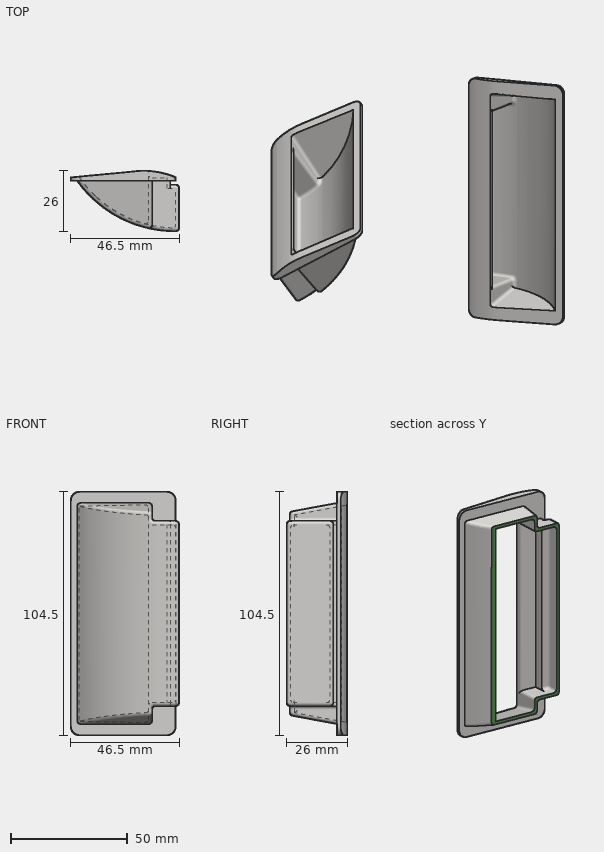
import cadquery as cq
import math

LENGTH = 104.5
WALL = 1.6
EDGE_RADIUS = 1.5
BRIDGE_RADIUS = 1.4

FLANGE_WIDTH = 45.0
FLANGE_CORNER = 3.8
FLANGE_LEFT_EDGE = 1.6
FLANGE_RIGHT_EDGE = 1.6
CROWN_START = (26.6, 4.1)
CROWN_PEAK = (32.9, 4.4)

CUP_LEFT = 2.8
CUP_DEPTH = 21.6
CUP_RIGHT = 34.9
CUP_HALF_LENGTH = 47.4
END_TAPER = math.radians(10.5)
CAVITY_TOP = 6.3

POCKET_HALF_LENGTH = 39.7
POCKET_RIGHT = 42.7
LIP_RIGHT = 46.5
PANEL_GAP = 1.6
BRIDGE_UNDERSIDE = 1.5
CURVE_END = 44.9

NEAR = 0.3

CURVE_RISE = CURVE_END - CUP_LEFT
CURVE_RADIUS = (CURVE_RISE**2 + CUP_DEPTH**2) / (2 * CUP_DEPTH)
CURVE_CENTER_Y = CURVE_RADIUS - CUP_DEPTH


def curved_prism(right, top, half_length, inset):
    """Prism along Z between the cup's curved face, moved in by inset, and a flat top."""
    radius = CURVE_RADIUS - inset

    def curve_point(y):
        return (CURVE_END - math.sqrt(radius**2 - (CURVE_CENTER_Y - y) ** 2), y)

    floor = CURVE_CENTER_Y - radius
    if right > CURVE_END:
        outline = (
            cq.Workplane("XY").moveTo(*curve_point(top))
            .threePointArc(curve_point((top + floor) / 2), (CURVE_END, floor))
            .lineTo(right, floor)
        )
    else:
        end = (right, CURVE_CENTER_Y - math.sqrt(radius**2 - (CURVE_END - right) ** 2))
        outline = (
            cq.Workplane("XY").moveTo(*curve_point(top))
            .threePointArc(curve_point((top + end[1]) / 2), end)
        )
    return outline.lineTo(right, top).close().extrude(half_length, both=True)


def slab(left, right, bottom, top, half_length):
    """Box spanning the given X and Y limits, centred on z = 0."""
    return (
        cq.Workplane("XY").center((left + right) / 2, (bottom + top) / 2)
        .rect(right - left, top - bottom).extrude(half_length, both=True)
    )


def tapered_cup(inset, top):
    """Main cup volume, with sloping ends."""
    half = CUP_HALF_LENGTH - inset / math.cos(END_TAPER)
    half_top = half + top * math.tan(END_TAPER)
    half_floor = half - CUP_DEPTH * math.tan(END_TAPER)
    outline = [(top, -half_top), (top, half_top), (-CUP_DEPTH, half_floor), (-CUP_DEPTH, -half_floor)]
    ends = cq.Workplane("YZ").polyline(outline).close().extrude(LIP_RIGHT)
    return curved_prism(CUP_RIGHT - inset, top, LENGTH / 2, inset).intersect(ends)


def finger_pocket(inset, top, lip_top):
    """Pocket under the flange, stepping down below the panel gap at its lip."""
    half = POCKET_HALF_LENGTH - inset
    pocket = curved_prism(LIP_RIGHT - inset, top, half, inset)
    step = slab(POCKET_RIGHT - inset, LIP_RIGHT, lip_top, top, half)
    return pocket.cut(step)


def box_edges(shape, x_limits, y_limits, z_limits):
    """Edges of the shape whose centres lie inside the given limits."""
    low, high = zip(x_limits, y_limits, z_limits)
    return shape.edges(cq.selectors.BoxSelector(low, high))


def cup_with_pocket(inset, cup_top, pocket_top):
    """Cup and pocket joined, with the outer edges of the floor, corners and lip rounded."""
    lip_top = -PANEL_GAP - inset
    cup = tapered_cup(inset, cup_top)
    shape = cup.union(finger_pocket(inset, pocket_top, lip_top))
    half = POCKET_HALF_LENGTH - inset
    cup_right = CUP_RIGHT - inset
    lip_right = LIP_RIGHT - inset
    below_top = (-CUP_DEPTH - NEAR, cup_top - NEAR)

    for z in (-half, half):
        corner = box_edges(shape, (cup_right - NEAR, cup_right + NEAR), below_top, (z - NEAR, z + NEAR))
        shape = corner.edges("|Y").fillet(EDGE_RADIUS)

    everywhere = (-LENGTH, LENGTH)
    floor_ends = box_edges(shape, (0, lip_right), (-CUP_DEPTH - NEAR, -CUP_DEPTH / 2 - NEAR), everywhere)
    rounded = floor_ends.edges("not(|Y or |Z)")
    for side in (-1, 1):
        cup_end = (side * (half + 3 * EDGE_RADIUS), side * LENGTH)
        uprights = box_edges(shape, (cup_right - NEAR, cup_right + NEAR), below_top, sorted(cup_end))
        rounded = rounded.add(uprights.edges("not |Z"))
        lip_end = (side * half - NEAR, side * half + NEAR)
        lip_edges = box_edges(shape, (cup_right, lip_right), (lip_top - NEAR, lip_top + NEAR), lip_end)
        rounded = rounded.add(lip_edges.edges("|X"))
    rounded = rounded.add(shape.faces(">X").edges())
    return shape.newObject(rounded.vals()).fillet(EDGE_RADIUS)


def flange():
    """Plate with rounded corners; its back is a straight ramp running into a crown."""
    profile = (
        cq.Workplane("XY").lineTo(0, FLANGE_LEFT_EDGE).lineTo(*CROWN_START)
        .threePointArc(CROWN_PEAK, (FLANGE_WIDTH, FLANGE_RIGHT_EDGE))
        .lineTo(FLANGE_WIDTH, 0).close().extrude(LENGTH / 2, both=True)
    )
    return profile.edges("|Y").fillet(FLANGE_CORNER)


outside = cup_with_pocket(0, 0, 0)
cavity = cup_with_pocket(WALL, CAVITY_TOP, BRIDGE_UNDERSIDE)
body = flange().union(outside).cut(cavity)

bridge_x = CUP_RIGHT - WALL
bridge = box_edges(
    body,
    (bridge_x - NEAR, bridge_x + NEAR),
    (BRIDGE_UNDERSIDE - NEAR, BRIDGE_UNDERSIDE + NEAR),
    (-NEAR, NEAR),
)
result = bridge.fillet(BRIDGE_RADIUS)